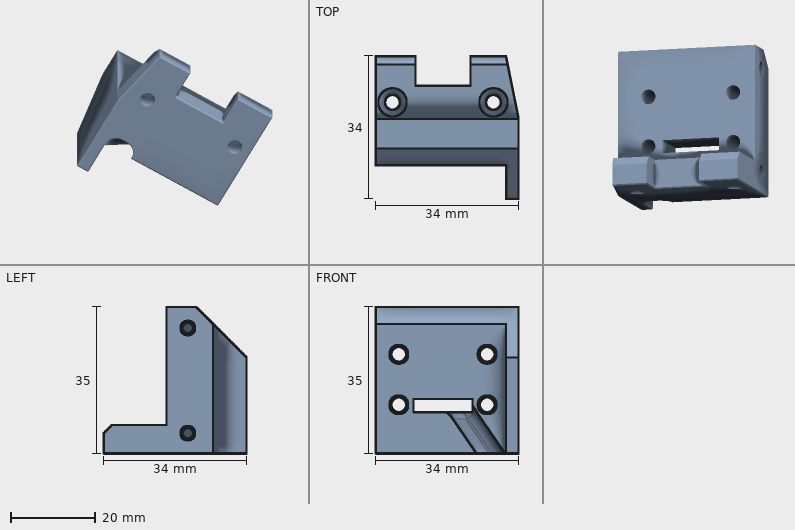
import cadquery as cq
import math

LENGTH = 34.0
DEPTH = 34.0
HEIGHT = 35.0

WALL_FRONT = 8.0
WALL_BACK = 19.1
LIP_THICKNESS = 3.0
LIP_START = LENGTH - LIP_THICKNESS
TOP_SLOPE = 12.0

FOOT_HEIGHT = 7.0
FOOT_TOP_CHAMFER = 2.0
FOOT_TAPER = 3.0
NOTCH_START = 9.5
NOTCH_WIDTH = 13.0
NOTCH_END = NOTCH_START + NOTCH_WIDTH
NOTCH_DEPTH = 7.0
BOTTOM_CHAMFER = 0.3

SCREW_DIAMETER = 3.5
FOOT_HOLE_X = (4.0, 28.0)
FOOT_HOLE_Y = 23.0
COUNTERSINK_DIAMETER = 6.75
WALL_HOLE_CENTER_X = 16.0
WALL_HOLE_SPACING_X = 21.0
WALL_HOLE_LOW_Z = 11.75
WALL_HOLE_SPACING_Z = 12.0
WALL_HOLE_MOUTH_DIAMETER = 4.5
WALL_HOLE_MOUTH_DEPTH = 1.0

SIDE_HOLE_Y = 14.0
SIDE_HOLE_Z = (5.0, 30.0)
SIDE_HOLE_MOUTH_DIAMETER = 3.5
SIDE_HOLE_END_DIAMETER = 2.5
SIDE_HOLE_DEPTH = 10.0

SLOT_CENTER_X = WALL_HOLE_CENTER_X
SLOT_WIDTH = 14.0
SLOT_FLOOR = 10.0
SLOT_HEIGHT = 3.1
SLOT_TOP = SLOT_FLOOR + SLOT_HEIGHT

GROOVE_RADIUS = 5.04 / 2
GROOVE_FLAT = 0.55
GROOVE_WALL = 0.5
GROOVE_ANGLE = 34.4
GROOVE_FOOT_X = 27.8
GROOVE_OVERRUN = 5.0
FLARE_START = 10.35
FLARE_LENGTH = 6.0
FLARE_CORNER_ANGLE = 3.0
FLARE_FLAT_ANGLE = 8.5
FLARE_WALL_ANGLE = 10.5
FLARE_START_FLAT = 0.02


def make_body():
    """Where the side outline and the plan outline overlap, chamfered around the bottom face."""
    side = (
        cq.Workplane("YZ")
        .polyline([
            (0, 0),
            (DEPTH, 0),
            (DEPTH, FOOT_HEIGHT - FOOT_TOP_CHAMFER),
            (DEPTH - FOOT_TOP_CHAMFER, FOOT_HEIGHT),
            (WALL_BACK, FOOT_HEIGHT),
            (WALL_BACK, HEIGHT),
            (TOP_SLOPE, HEIGHT),
            (0, HEIGHT - TOP_SLOPE),
        ])
        .close()
        .extrude(LENGTH)
    )
    plan = (
        cq.Workplane("XY")
        .polyline([
            (0, WALL_FRONT),
            (LIP_START, WALL_FRONT),
            (LIP_START, 0),
            (LENGTH, 0),
            (LENGTH, WALL_BACK),
            (LENGTH - FOOT_TAPER, DEPTH),
            (NOTCH_END, DEPTH),
            (NOTCH_END, DEPTH - NOTCH_DEPTH),
            (NOTCH_START, DEPTH - NOTCH_DEPTH),
            (NOTCH_START, DEPTH),
            (0, DEPTH),
        ])
        .close()
        .extrude(HEIGHT)
    )
    return side.intersect(plan).faces("<Z").chamfer(BOTTOM_CHAMFER)


def cone(mouth_diameter, end_diameter, depth, point, direction):
    """Conical cutter running from its mouth at point along direction."""
    solid = cq.Solid.makeCone(
        mouth_diameter / 2, end_diameter / 2, depth, cq.Vector(*point), cq.Vector(*direction)
    )
    return cq.Workplane(solid)


def screw_hole(mouth_diameter, mouth_depth, length, point, direction):
    """Cutter for a screw hole with a conical mouth at point, running along direction."""
    solid = cq.Solid.makeCylinder(
        SCREW_DIAMETER / 2, length, cq.Vector(*point), cq.Vector(*direction)
    )
    mouth = cone(mouth_diameter, SCREW_DIAMETER, mouth_depth, point, direction)
    return cq.Workplane(solid).union(mouth)


def cut_foot_holes(body):
    """Two 90 degree countersunk holes down through the foot."""
    sink_depth = (COUNTERSINK_DIAMETER - SCREW_DIAMETER) / 2
    for x in FOOT_HOLE_X:
        point = (x, FOOT_HOLE_Y, FOOT_HEIGHT)
        body = body.cut(screw_hole(COUNTERSINK_DIAMETER, sink_depth, FOOT_HEIGHT, point, (0, 0, -1)))
    return body


def cut_wall_holes(body):
    """Four screw holes through the wall, each with a conical mouth at the front."""
    thickness = WALL_BACK - WALL_FRONT
    for side in (-1, 1):
        x = WALL_HOLE_CENTER_X + side * WALL_HOLE_SPACING_X / 2
        for z in (WALL_HOLE_LOW_Z, WALL_HOLE_LOW_Z + WALL_HOLE_SPACING_Z):
            point = (x, WALL_FRONT, z)
            body = body.cut(screw_hole(
                WALL_HOLE_MOUTH_DIAMETER, WALL_HOLE_MOUTH_DEPTH, thickness, point, (0, 1, 0),
            ))
    return body


def cut_side_holes(body):
    for z in SIDE_HOLE_Z:
        body = body.cut(cone(
            SIDE_HOLE_MOUTH_DIAMETER, SIDE_HOLE_END_DIAMETER, SIDE_HOLE_DEPTH,
            (0, SIDE_HOLE_Y, z), (1, 0, 0),
        ))
    return body


def cut_slot(body):
    slot = cq.Workplane("XY").box(
        SLOT_WIDTH, WALL_BACK - WALL_FRONT, SLOT_HEIGHT, centered=(True, False, False)
    )
    return body.cut(slot.translate((SLOT_CENTER_X, WALL_FRONT, SLOT_FLOOR)))


def groove_section(distance, radius, flat, wall):
    """Closed groove profile at a distance along the groove, flat strip on the -X side."""
    lean = math.radians(GROOVE_ANGLE)
    axis = cq.Vector(-math.sin(lean), 0, math.cos(lean))
    across = cq.Vector(math.cos(lean), 0, math.sin(lean))
    foot = cq.Vector(GROOVE_FOOT_X, WALL_FRONT, 0)
    plane = cq.Plane(origin=foot + axis * distance, xDir=across, normal=axis)
    return (
        cq.Workplane(plane)
        .moveTo(radius, 0)
        .lineTo(radius, wall)
        .radiusArc((0, wall + radius), -radius)
        .lineTo(-flat, wall + radius)
        .radiusArc((-flat - radius, wall), -radius)
        .lineTo(-flat - radius, 0)
        .close()
    )


def cut_groove(body):
    """Straight groove, plus a flare widening towards -X where it reaches the slot."""
    flare_end = FLARE_START + FLARE_LENGTH
    end_radius = GROOVE_RADIUS + FLARE_LENGTH * math.tan(math.radians(FLARE_CORNER_ANGLE))
    end_flat = FLARE_START_FLAT + FLARE_LENGTH * math.tan(math.radians(FLARE_FLAT_ANGLE))
    end_wall = GROOVE_WALL + FLARE_LENGTH * math.tan(math.radians(FLARE_WALL_ANGLE))

    groove = (
        groove_section(-GROOVE_OVERRUN, GROOVE_RADIUS, GROOVE_FLAT, GROOVE_WALL)
        .extrude(GROOVE_OVERRUN + flare_end)
    )
    flare_sections = [
        groove_section(FLARE_START, GROOVE_RADIUS, FLARE_START_FLAT, GROOVE_WALL).val(),
        groove_section(flare_end, end_radius, end_flat, end_wall).val(),
    ]
    flare = cq.Workplane(cq.Solid.makeLoft(flare_sections, True))

    below_slot_top = cq.Workplane("XY").box(LENGTH, DEPTH, SLOT_TOP, centered=False)
    return body.cut(groove.intersect(below_slot_top)).cut(flare.intersect(below_slot_top))


def chamfer_groove_mouth(body):
    """Continue the bottom chamfer around the groove's opening in the bottom face."""
    clearance = BOTTOM_CHAMFER / 2
    deepest = WALL_FRONT + GROOVE_WALL + GROOVE_RADIUS
    mouth = cq.selectors.BoxSelector(
        (SLOT_CENTER_X + SLOT_WIDTH / 2, WALL_FRONT + BOTTOM_CHAMFER + clearance, -clearance),
        (LIP_START, deepest + clearance, clearance),
    )
    return body.faces("<Z").edges(mouth).chamfer(BOTTOM_CHAMFER)


result = make_body()
result = cut_foot_holes(result)
result = cut_wall_holes(result)
result = cut_side_holes(result)
result = cut_slot(result)
result = cut_groove(result)
result = chamfer_groove_mouth(result)